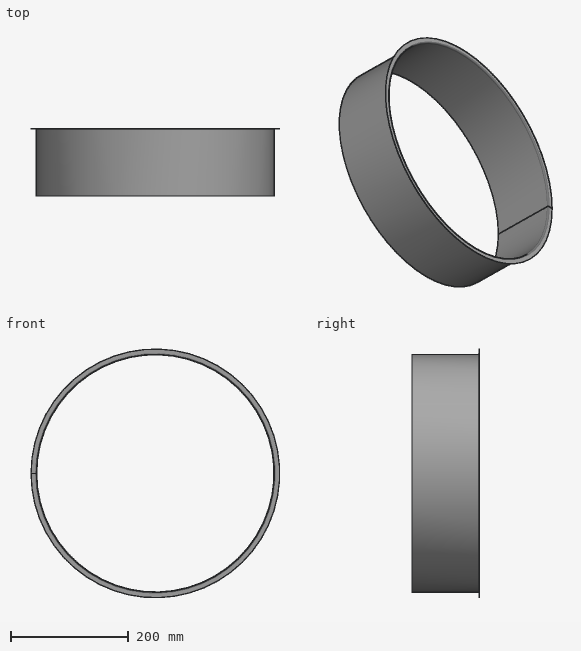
import cadquery as cq

inner_diameter = 403.2
flange_diameter = 423.2
sheet_thickness = 1.0
collar_length = 115.0
inside_bend_radius = 1.0
seam_gap_angle = 0.001

inner_radius = inner_diameter / 2
outer_radius = inner_radius + sheet_thickness
flange_radius = flange_diameter / 2
outside_bend_radius = inside_bend_radius + sheet_thickness
free_end_y = -collar_length / 2
flange_face_y = collar_length / 2
flange_back_y = flange_face_y - sheet_thickness
bend_start_y = flange_face_y - outside_bend_radius
bend_end_radius = inner_radius + outside_bend_radius


def make_section():
    """Sheet section on the -X side: straight wall, bend, and flange turned outward at +Y."""
    return (
        cq.Workplane("XY")
        .moveTo(-inner_radius, free_end_y)
        .lineTo(-outer_radius, free_end_y)
        .lineTo(-outer_radius, bend_start_y)
        .radiusArc((-bend_end_radius, flange_back_y), -inside_bend_radius)
        .lineTo(-flange_radius, flange_back_y)
        .lineTo(-flange_radius, flange_face_y)
        .lineTo(-bend_end_radius, flange_face_y)
        .radiusArc((-inner_radius, bend_start_y), outside_bend_radius)
        .close()
    )


def make_collar():
    """Roll the section around the Y axis, leaving the open seam on the -X side just above Z = 0."""
    axis_start = (0, 0, 0)
    axis_end = (0, -1, 0)
    return make_section().revolve(360 - seam_gap_angle, axis_start, axis_end)


result = make_collar()